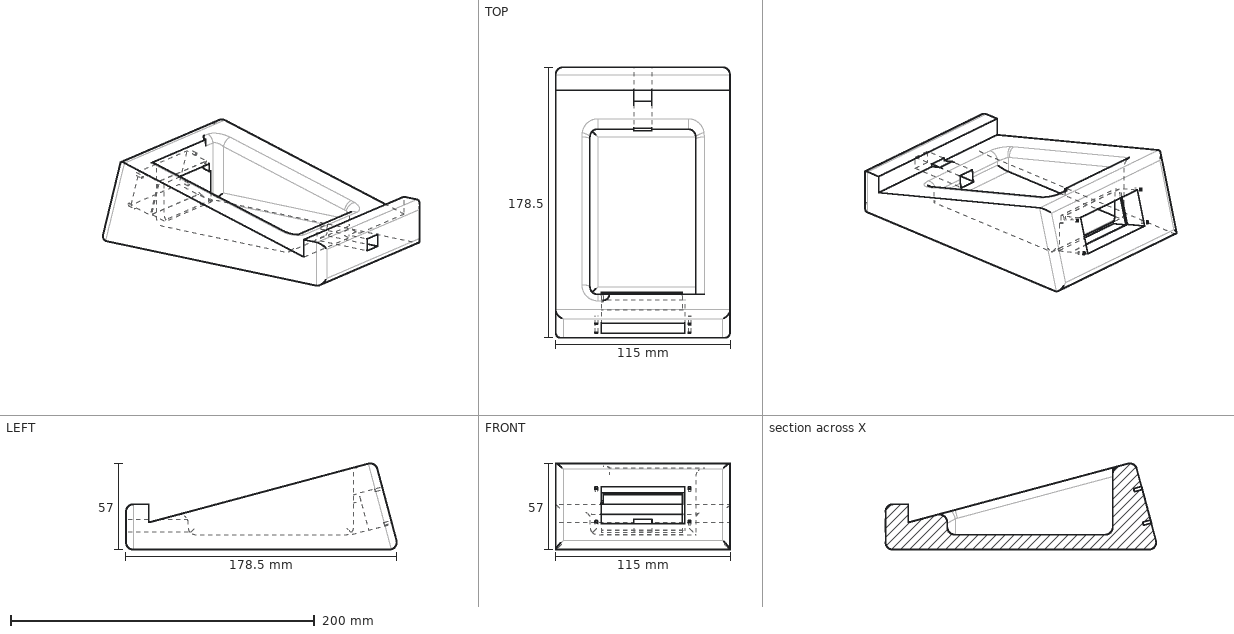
import cadquery as cq
import math

width = 115.0
depth = 178.5
height = 57.0
edge_radius = 5.0
tilt_degrees = 15.0
lip_height = 30.0
lip_front_y = 163.3

pocket_half_width = 34.8
pocket_front_y = 28.7
pocket_back_y = 137.6
pocket_floor_z = 10.0
pocket_radius = 5.0
rim_radius = 5.5
rim_fade_x = -26.0
rim_fade_radius = 4.0

window_width = 55.0
window_bottom_z = 17.1
window_top_z = 41.5
recess_depth = 16.0
opening_width = 52.1
opening_inset = 0.2
opening_depth = 27.5
opening_notch_height = 19.8
screw_hole_diameter = 1.8
screw_hole_depth = 5.4
screw_spacing_x = 61.4
screw_bottom_z = 18.5
screw_top_z = 40.7

channel_width = 11.8
channel_bottom_z = 11.8
channel_top_z = 20.0

tilt = math.radians(tilt_degrees)
slope = math.tan(tilt)

front_bottom_y = edge_radius - edge_radius / math.tan((math.pi / 2 - tilt) / 2)
front_top_z = height - edge_radius + edge_radius * (math.sin(tilt) + math.cos(tilt))
front_top_y = front_bottom_y + front_top_z * slope


def top_z(y):
    """Height of the sloping top at a given Y."""
    return front_top_z - (y - front_top_y) * slope


def box(x_range, y_range, z_range):
    """Box between the given limits along each axis."""
    lower, upper = zip(x_range, y_range, z_range)
    size = [high - low for low, high in zip(lower, upper)]
    return cq.Workplane("XY").box(*size, centered=False).translate(lower)


def extrude_profile(points, total_width):
    """Extrude a Y-Z outline symmetrically about X = 0."""
    return cq.Workplane("YZ").polyline(points).close().extrude(total_width / 2, both=True)


def make_wedge():
    """Sloping body with a raised back lip and rounded front and back faces."""
    profile = [
        (front_bottom_y, 0),
        (depth, 0),
        (depth, lip_height),
        (lip_front_y, lip_height),
        (lip_front_y, top_z(lip_front_y)),
        (front_top_y, front_top_z),
    ]
    wedge = extrude_profile(profile, width)
    front_face_normal = cq.Vector(0, -math.cos(tilt), math.sin(tilt))
    front_face = cq.selectors.DirectionMinMaxSelector(front_face_normal)
    wedge = wedge.faces(front_face).edges().fillet(edge_radius)
    return wedge.faces(">Y").edges().fillet(edge_radius)


def make_pocket():
    """Pocket volume, square at its front right corner and along the right of its floor."""
    block = box(
        (-pocket_half_width, pocket_half_width),
        (pocket_front_y, pocket_back_y),
        (pocket_floor_z, front_top_z),
    )
    outline = block.edges("|Z and (<X or >Y)").fillet(pocket_radius)
    rounded_floor = block.faces("<Z").edges("not >X").fillet(pocket_radius)
    return outline.intersect(rounded_floor)


def round_pocket_rim(body):
    """Round the pocket rim, leaving the front edge square beyond the left corner."""
    sloping_face = max(body.faces("%PLANE").vals(), key=lambda face: len(face.innerWires()))
    rim = sloping_face.innerWires()[0]
    rounded = body.newObject([body.val().fillet(rim_radius, rim.Edges())])

    strip_y = pocket_front_y - rim_radius
    restored = extrude_profile(
        [
            (strip_y, pocket_floor_z + pocket_radius),
            (pocket_front_y, window_top_z),
            (pocket_front_y, top_z(pocket_front_y)),
            (strip_y, top_z(strip_y)),
        ],
        width - 2 * edge_radius,
    )
    rounded_corner = box((-width, rim_fade_x), (0, depth), (0, height)).union(
        cq.Workplane("XY").center(rim_fade_x, pocket_front_y).circle(rim_fade_radius).extrude(height)
    )
    return rounded.union(restored.cut(rounded_corner))


def make_window():
    """Stepped display window and its screw holes, square to the sloping front face."""
    face_height = (window_top_z - window_bottom_z) / math.cos(tilt)
    frame = cq.Plane(
        origin=(0, front_bottom_y + window_bottom_z * slope, window_bottom_z),
        xDir=(1, 0, 0),
        normal=(0, -math.cos(tilt), math.sin(tilt)),
    )
    face = cq.Workplane(frame)
    opening_height = face_height - 2 * opening_inset

    centred_face = face.center(0, face_height / 2)

    recess = centred_face.rect(window_width, face_height).extrude(-recess_depth)
    opening = centred_face.rect(opening_width, opening_height).extrude(-opening_depth)
    notch = (
        face.center(-window_width / 4, opening_inset + opening_notch_height / 2)
        .rect(window_width / 2, opening_notch_height)
        .extrude(-opening_depth)
    )
    hole_centres = [
        (side * screw_spacing_x / 2, (z - window_bottom_z) / math.cos(tilt))
        for side in (-1, 1)
        for z in (screw_bottom_z, screw_top_z)
    ]
    holes = face.pushPoints(hole_centres).circle(screw_hole_diameter / 2).extrude(-screw_hole_depth)
    return recess.union(opening).union(notch).union(holes)


def make_cable_channel():
    """Straight channel under the lip, breaking through the sloping top in front of it."""
    return box(
        (-channel_width / 2, channel_width / 2),
        (pocket_back_y - pocket_radius, depth),
        (channel_bottom_z, channel_top_z),
    )


body = round_pocket_rim(make_wedge().cut(make_pocket()))
result = body.cut(make_window()).cut(make_cable_channel())